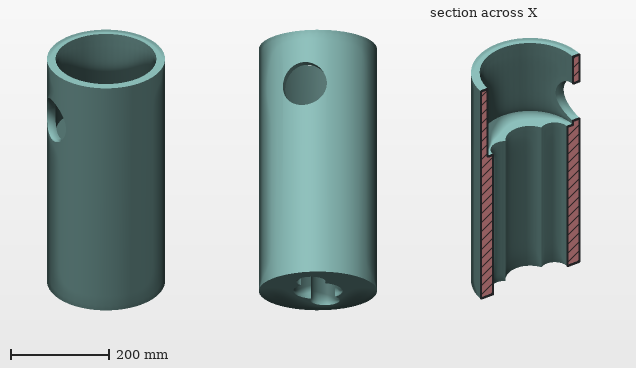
import cadquery as cq

height = 520.0
outer_diameter = 240.0
bore_diameter = 205.0
bore_depth = 170.0
core_hole_diameter = 100.5
lobe_diameter = 60.0
lobe_offset = 60.0
window_diameter = 92.0
window_height = 405.5

floor_height = height - bore_depth


def vertical_hole(diameter, y=0):
    """Cutter for a hole along Z through the full height."""
    return cq.Workplane("XY").center(0, y).circle(diameter / 2).extrude(height)


body = cq.Workplane("XY").circle(outer_diameter / 2).extrude(height)
bore = cq.Workplane("XY", origin=(0, 0, floor_height)).circle(bore_diameter / 2).extrude(bore_depth)
body = body.cut(bore)

body = body.cut(vertical_hole(core_hole_diameter))
for side in (-1, 1):
    body = body.cut(vertical_hole(lobe_diameter, side * lobe_offset))

window = (
    cq.Workplane("XZ")
    .center(0, window_height)
    .circle(window_diameter / 2)
    .extrude(outer_diameter / 2)
)
result = body.cut(window)